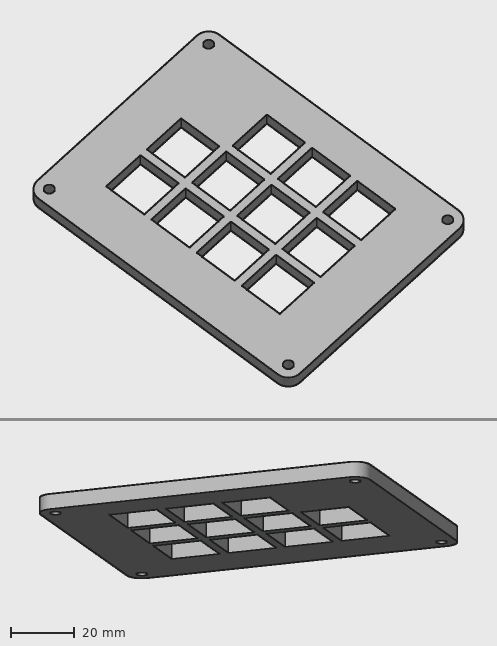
import cadquery as cq

length = 110.5
width = 84.5
thickness = 5.0
corner_radius = 5.0

screw_hole_diameter = 3.4

columns = 4
rows = 3
key_pitch = 19.0
key_opening = 16.0
grid_center_x = -1.2
grid_center_y = 2.4


def make_plate():
    plate = cq.Workplane("XY").box(length, width, thickness)
    return plate.edges("|Z").fillet(corner_radius)


def cut_screw_holes(plate):
    spacing_x = length - 2 * corner_radius
    spacing_y = width - 2 * corner_radius
    return (
        plate.faces(">Z").workplane(origin=(0, 0, 0))
        .rect(spacing_x, spacing_y, forConstruction=True)
        .vertices()
        .hole(screw_hole_diameter)
    )


def cut_key_openings(plate):
    centers = []
    for column in range(columns):
        for row in range(rows):
            is_upper_left = column == 0 and row == rows - 1
            if is_upper_left:
                continue
            x = grid_center_x + (column - (columns - 1) / 2) * key_pitch
            y = grid_center_y + (row - (rows - 1) / 2) * key_pitch
            centers.append((x, y))
    return (
        plate.faces(">Z").workplane(origin=(0, 0, 0))
        .pushPoints(centers)
        .rect(key_opening, key_opening)
        .cutThruAll()
    )


result = cut_key_openings(cut_screw_holes(make_plate()))